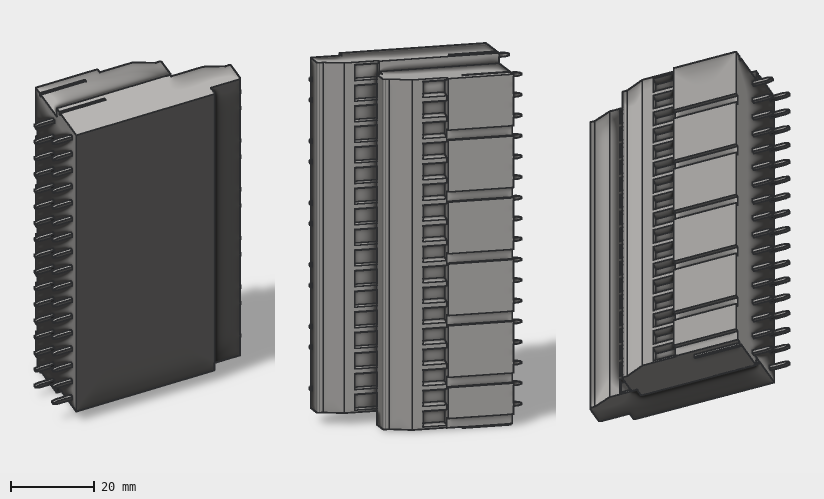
import cadquery as cq


pole_count = 17
overall_length = 89.5
key_height = 0.6
pitch = (overall_length - key_height) / (pole_count + 0.5)
row_length = pole_count * pitch
row_shift = pitch / 2

row_split = 12.0
total_width = 23.1
total_depth = 50.3
foot_height = 16.4
foot_step = 1.25
deck_height = 30.1
back_face = 12.6
front_slope_width = 2.4
front_slope_height = 5.0
back_slope_width = 2.1
back_slope_height = 4.7
rim_height = 1.4
front_top = 31.5
front_top_end = 9.5
back_top = 44.75
back_top_end = 20.6
back_shoulder = 36.8
edge_radius = 0.45

pocket_length = 5.9
pocket_height = 3.9
front_pocket_depth = 1.8
front_pocket_inset = 0.5
back_pocket_depth = 1.0
back_pocket_inset = 0.4

groove_depth = 1.0
groove_height = pitch / 2
groove_poles = (2.5, 5.5, 8.5, 11.5, 14.5)

pin_size = 0.9
pin_length = 5.0
pin_tip_length = 1.2
pin_tip_size = 0.4
front_pin_x = 10.3
back_pin_x = front_pin_x + 2 * pitch

key_width = 0.6
key_length = 12.0
front_key_x = 2.6
back_key_x = 13.7

stud_radius = 0.5
stud_height = total_depth - pin_length - back_top
stud_x = 19.2
stud_joints = (1, 2, 4, 5, 7, 8, 10, 11, 13, 14, 16)


def box(x_start, y_start, z_start, width, depth, height):
    return cq.Workplane("XY").box(width, depth, height, centered=False).translate((x_start, y_start, z_start))


def extrude_row(points, rounded_corners):
    """Extrude a row outline and round the given corners."""
    row = cq.Workplane("XY").polyline(points).close().extrude(row_length)
    for x, y in rounded_corners:
        row = row.edges(cq.selectors.NearestToPointSelector((x, y, row_length / 2))).fillet(edge_radius)
    return row


def front_row():
    face = foot_step
    rim = face + front_slope_width
    crest = [(rim, front_top), (front_top_end, front_top)]
    points = [
        (0, 0),
        (0, foot_height),
        (face, foot_height),
        (face, front_top - rim_height - front_slope_height),
        (rim, front_top - rim_height),
        *crest,
        (front_top_end, deck_height),
        (row_split, deck_height),
        (row_split, 0),
    ]
    return extrude_row(points, crest)


def back_row():
    rim = back_face + back_slope_width
    crest = [(rim, back_top), (back_top_end, back_top)]
    shoulder_corner = (total_width, back_shoulder)
    points = [
        (row_split, 0),
        (row_split, deck_height),
        (back_face, deck_height),
        (back_face, back_top - rim_height - back_slope_height),
        (rim, back_top - rim_height),
        *crest,
        (back_top_end, back_shoulder),
        shoulder_corner,
        (total_width, 0),
    ]
    return extrude_row(points, crest + [shoulder_corner])


def pole_centers():
    return [(pole + 0.5) * pitch for pole in range(pole_count)]


def cut_pockets(row, face_x, y_start, depth, inset):
    y_middle = y_start + pocket_length / 2
    mouth_half = pocket_height / 2
    floor_half = mouth_half - inset
    outline = [(0, -mouth_half), (0, mouth_half), (depth, floor_half), (depth, -floor_half)]
    pocket = cq.Workplane("XZ").polyline(outline).close().extrude(pocket_length / 2, both=True)
    for z in pole_centers():
        row = row.cut(pocket.translate((face_x, y_middle, z)))
    return row


def cut_grooves(row):
    groove_bottoms = [row_length - poles * pitch - groove_height for poles in groove_poles]
    for z in groove_bottoms + [0]:
        row = row.cut(box(0, 0, z, groove_depth, foot_height, groove_height))
    return row


def add_pins(row, x):
    half = pin_size / 2
    tip_half = pin_tip_size / 2
    outline = [
        (0, -half),
        (0, half),
        (pin_tip_length - pin_length, half),
        (-pin_length, tip_half),
        (-pin_length, -tip_half),
        (pin_tip_length - pin_length, -half),
    ]
    pin = cq.Workplane("YZ").polyline(outline).close().extrude(half, both=True)
    for z in pole_centers():
        row = row.union(pin.translate((x, 0, z)))
    return row


def add_key_and_slot(row, x):
    key = box(x - key_width / 2, 0, -key_height, key_width, key_length, key_height)
    return row.union(key).cut(key.translate((0, 0, row_length)))


def add_studs(row):
    stud = cq.Workplane("XZ").circle(stud_radius).extrude(-stud_height).faces(">Y").chamfer(stud_height / 2)
    for joint in stud_joints:
        row = row.union(stud.translate((stud_x, back_top, row_length - joint * pitch)))
    return row


front = cut_pockets(front_row(), foot_step, foot_height, front_pocket_depth, front_pocket_inset)
front = cut_grooves(front)
front = add_pins(front, front_pin_x)
front = add_key_and_slot(front, front_key_x)

back = cut_pockets(back_row(), back_face, deck_height, back_pocket_depth, back_pocket_inset)
back = add_pins(back, back_pin_x)
back = add_key_and_slot(back, back_key_x)
back = add_studs(back)

result = front.union(back.translate((0, 0, row_shift)))